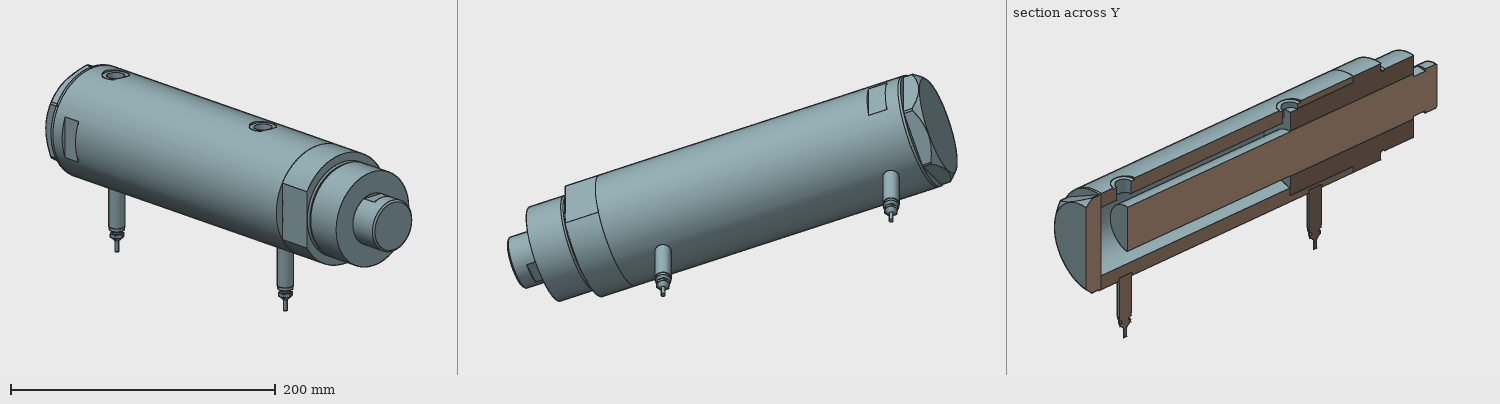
import cadquery as cq
import math


LENGTH = 344.3
CAP_HEX_LENGTH = 12.7
HOUSING_START = 14.8
HOUSING_END = 262.0
HEAD_SHOULDER_END = 289.2
BOSS_START = 293.0
BOSS_END = 321.2
ROD_FLAT_END = 332.5

BODY_RADIUS = 44.0
BORE_RADIUS = 31.0
SPIGOT_RADIUS = 38.0
BOSS_RADIUS = 37.5
ROD_DIAMETER = 40.5
ROD_RADIUS = ROD_DIAMETER / 2

HEX_ACROSS_FLATS = 75.7
HEX_CORNER_DIAMETER = 86.5
HEX_CORNER_RADIUS = HEX_CORNER_DIAMETER / 2
CAP_FACE_RADIUS = 37.5

POCKET_START = 25.0
POCKET_END = 40.0
POCKET_HALF_WIDTH = 41.0

PORT_POSITIONS = (37.2, 200.0)
PORT_RADIUS = 7.0
SPOTFACE_RADIUS = 10.5
SPOTFACE_DEPTH = 1.5

ROD_START = 40.5
SPIGOT_START = PORT_POSITIONS[1]
HEAD_HALF_WIDTH = 38.0
GROOVE_DEPTH = 1.5
GROOVE_FLOOR_START = 290.5
GROOVE_FLOOR_END = 291.5
ROD_FLAT_HEIGHT = 18.2
ROD_CHAMFER = 1.5

SENSOR_POSITIONS = (38.5, 225.0)
SENSOR_RADIUS = 6.2
SENSOR_TOP = -41.3
SENSOR_BAND_TOP = -77.5
SENSOR_BAND_BOTTOM = -80.0
SENSOR_BAND_RADIUS = 6.0
SENSOR_NECK_TOP = -81.5
SENSOR_NECK_RADIUS = 3.5
SENSOR_NUT_TOP = -83.0
SENSOR_NUT_BOTTOM = -85.7
SENSOR_NUT_ACROSS_FLATS = 9.3
SENSOR_CONE_BOTTOM = -89.0
SENSOR_CABLE_RADIUS = 1.55
SENSOR_BOTTOM = -97.5


def disc(start, end, radius):
    """Cylinder along X between two stations."""
    return cq.Workplane("YZ", origin=(start, 0, 0)).circle(radius).extrude(end - start)


def turned(profile):
    """Solid turned about X from (station, radius) points; its ends close on the axis."""
    points = [(profile[0][0], 0), *profile, (profile[-1][0], 0)]
    return cq.Workplane("XY").polyline(points).close().revolve(360, (0, 0, 0), (1, 0, 0))


def upright(bottom, top, radius, x):
    """Cylinder along Z at station x."""
    return cq.Workplane("XY", origin=(x, 0, bottom)).circle(radius).extrude(top - bottom)


def slab(start, end, width, height):
    """Box centred on the axis, between two stations."""
    return cq.Workplane("YZ", origin=(start, 0, 0)).rect(width, height).extrude(end - start)


def make_cap():
    across_corners = HEX_ACROSS_FLATS / math.cos(math.pi / 6)
    hexagon = (
        cq.Workplane("YZ")
        .transformed(rotate=(0, 0, 90))
        .polygon(6, across_corners)
        .extrude(CAP_HEX_LENGTH)
    )
    chamfer = HEX_CORNER_RADIUS - CAP_FACE_RADIUS
    envelope = turned([
        (0, CAP_FACE_RADIUS),
        (chamfer, HEX_CORNER_RADIUS),
        (CAP_HEX_LENGTH, HEX_CORNER_RADIUS),
    ])
    flange = disc(CAP_HEX_LENGTH, HOUSING_START, BODY_RADIUS)
    return hexagon.intersect(envelope).union(flange)


def make_housing():
    housing = disc(HOUSING_START, HOUSING_END, BODY_RADIUS)
    housing = housing.cut(disc(HOUSING_START, HOUSING_END, BORE_RADIUS))
    housing = housing.cut(disc(SPIGOT_START, HOUSING_END, SPIGOT_RADIUS))

    diameter = 2 * BODY_RADIUS
    pocket_ring = slab(POCKET_START, POCKET_END, 2 * diameter, diameter)
    pocket_core = slab(POCKET_START, POCKET_END, 2 * POCKET_HALF_WIDTH, diameter)
    housing = housing.cut(pocket_ring.cut(pocket_core))

    for x in PORT_POSITIONS:
        housing = housing.cut(upright(BODY_RADIUS - SPOTFACE_DEPTH, BODY_RADIUS, SPOTFACE_RADIUS, x))
        housing = housing.cut(upright(0, BODY_RADIUS, PORT_RADIUS, x))

    for x in SENSOR_POSITIONS:
        housing = housing.cut(upright(-BODY_RADIUS, SENSOR_TOP, SENSOR_RADIUS, x))
    return housing


def make_head():
    shoulder = disc(HOUSING_END, HEAD_SHOULDER_END, BODY_RADIUS)
    shoulder = shoulder.intersect(
        slab(HOUSING_END, HEAD_SHOULDER_END, 2 * HEAD_HALF_WIDTH, 2 * BODY_RADIUS)
    )
    spigot = disc(SPIGOT_START, HOUSING_END, SPIGOT_RADIUS)

    groove_radius = BOSS_RADIUS - GROOVE_DEPTH
    boss = turned([
        (HEAD_SHOULDER_END, BOSS_RADIUS),
        (GROOVE_FLOOR_START, groove_radius),
        (GROOVE_FLOOR_END, groove_radius),
        (BOSS_START, BOSS_RADIUS),
        (BOSS_END, BOSS_RADIUS),
    ])
    head = shoulder.union(spigot).union(boss)
    return head.cut(disc(SPIGOT_START, BOSS_END, ROD_RADIUS))


def make_rod():
    rod = disc(ROD_START, LENGTH, ROD_RADIUS).faces(">X").chamfer(ROD_CHAMFER)

    flat_ring = slab(BOSS_END, ROD_FLAT_END, ROD_DIAMETER, ROD_DIAMETER)
    flat_core = slab(BOSS_END, ROD_FLAT_END, ROD_DIAMETER, 2 * ROD_FLAT_HEIGHT)
    return rod.cut(flat_ring.cut(flat_core))


def make_sensor(x):
    profile = [
        (0, SENSOR_TOP),
        (SENSOR_RADIUS, SENSOR_TOP),
        (SENSOR_RADIUS, SENSOR_BAND_TOP),
        (SENSOR_BAND_RADIUS, SENSOR_BAND_TOP),
        (SENSOR_BAND_RADIUS, SENSOR_BAND_BOTTOM),
        (SENSOR_NECK_RADIUS, SENSOR_NECK_TOP),
        (SENSOR_NECK_RADIUS, SENSOR_NUT_BOTTOM),
        (SENSOR_NUT_ACROSS_FLATS / 2, SENSOR_NUT_BOTTOM),
        (SENSOR_CABLE_RADIUS, SENSOR_CONE_BOTTOM),
        (SENSOR_CABLE_RADIUS, SENSOR_BOTTOM),
        (0, SENSOR_BOTTOM),
    ]
    stem = cq.Workplane("XZ").polyline(profile).close().revolve(360, (0, 0, 0), (0, 1, 0))
    across_corners = SENSOR_NUT_ACROSS_FLATS / math.cos(math.pi / 6)
    nut = (
        cq.Workplane("XY", origin=(0, 0, SENSOR_NUT_BOTTOM))
        .polygon(6, across_corners)
        .extrude(SENSOR_NUT_TOP - SENSOR_NUT_BOTTOM)
    )
    return stem.union(nut).translate((x, 0, 0))


cap = make_cap()
housing = make_housing()
head = make_head()
rod = make_rod()
sensors = [make_sensor(x).val() for x in SENSOR_POSITIONS]

result = cq.Compound.makeCompound([
    cap.val(),
    housing.val(),
    head.val(),
    rod.val(),
    *sensors,
])